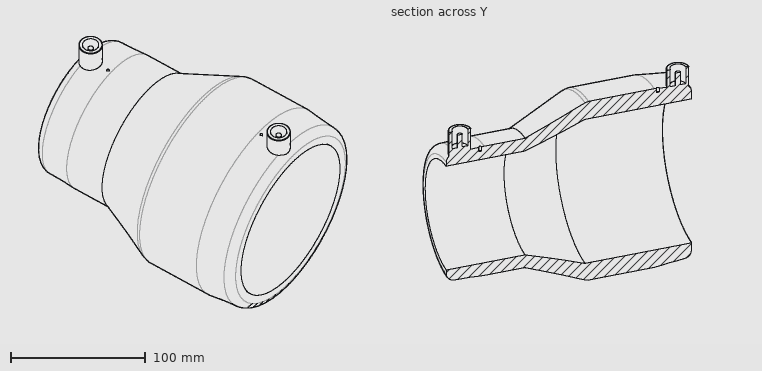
import cadquery as cq

length = 194.0
small_outer_radius = 113.0 / 2
large_outer_radius = 156.0 / 2
small_bore_radius = 90.0 / 2
large_bore_radius = 125.0 / 2

small_end_radius = 55.5
large_end_radius = 75.5
small_edge_round = 6.8
large_edge_round = 6.2
small_taper_end = 29.9
large_taper_start = 164.3

cone_start = 62.3
cone_end = 109.6
cone_end_radius = 77.2
large_cylinder_start = 112.3

terminal_radius = 17.5 / 2
socket_radius = 12.0 / 2
pin_radius = 4.0 / 2
terminal_inset = 10.9
small_terminal_top = 74.1
large_terminal_top = 91.5
socket_depth = 14.5
pin_recess = 3.7
rim_chamfer = 0.4
terminal_embed = 4.8

indicator_radius = 2.0 / 2
indicator_inset = 26.8
indicator_depth = 3.9
drill_clearance = 2.0


def upright_cylinder(x, radius, bottom, top):
    return cq.Workplane("XY", origin=(x, 0, bottom)).circle(radius).extrude(top - bottom)


def make_body():
    """Revolve the wall section, with the bore cone beneath the outer cone."""
    diagonal = 0.5 ** 0.5
    small_arc_mid = (
        small_edge_round * (1 - diagonal),
        small_end_radius - small_edge_round * (1 - diagonal),
    )
    large_arc_mid = (
        length - large_edge_round * (1 - diagonal),
        large_end_radius - large_edge_round * (1 - diagonal),
    )
    return (
        cq.Workplane("XY")
        .moveTo(0, small_bore_radius)
        .lineTo(0, small_end_radius - small_edge_round)
        .threePointArc(small_arc_mid, (small_edge_round, small_end_radius))
        .lineTo(small_taper_end, small_outer_radius)
        .lineTo(cone_start, small_outer_radius)
        .lineTo(cone_end, cone_end_radius)
        .lineTo(large_cylinder_start, large_outer_radius)
        .lineTo(large_taper_start, large_outer_radius)
        .lineTo(length - large_edge_round, large_end_radius)
        .threePointArc(large_arc_mid, (length, large_end_radius - large_edge_round))
        .lineTo(length, large_bore_radius)
        .lineTo(cone_end, large_bore_radius)
        .lineTo(cone_start, small_bore_radius)
        .close()
        .revolve(360, (0, 0, 0), (1, 0, 0))
    )


def add_terminal(body, x, top, end_radius):
    """Add a socket rooted in the wall, then its contact pin."""
    floor = top - socket_depth
    shell = upright_cylinder(x, terminal_radius, end_radius - terminal_embed, top)
    shell = shell.faces(">Z").chamfer(rim_chamfer)
    socket = upright_cylinder(x, socket_radius, floor, top)
    pin = upright_cylinder(x, pin_radius, floor, top - pin_recess)
    return body.union(shell).cut(socket).union(pin)


def cut_indicator(body, x, outer_radius):
    """Drill a shallow blind hole down into the wall."""
    bottom = outer_radius - indicator_depth
    top = outer_radius + drill_clearance
    return body.cut(upright_cylinder(x, indicator_radius, bottom, top))


result = make_body()
result = add_terminal(result, terminal_inset, small_terminal_top, small_end_radius)
result = add_terminal(result, length - terminal_inset, large_terminal_top, large_end_radius)
result = cut_indicator(result, indicator_inset, small_outer_radius)
result = cut_indicator(result, length - indicator_inset, large_outer_radius)